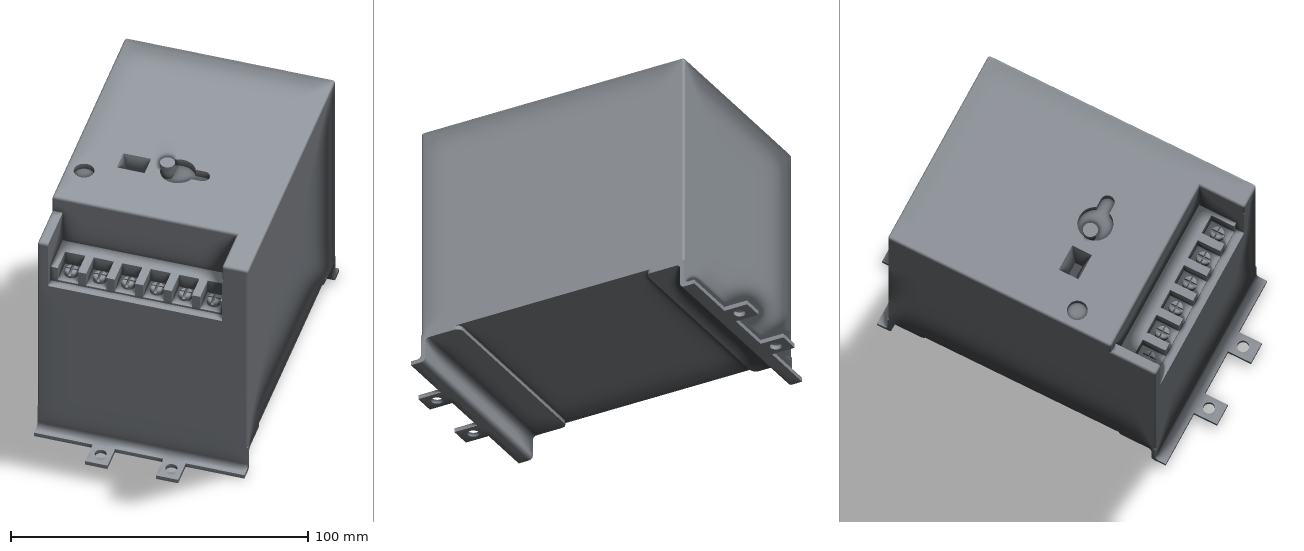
import cadquery as cq

width = 74.0
depth = 101.6
total_depth = 127.0
housing_bottom = 10.5
housing_top = 89.9
total_height = 93.0
edge_radius = 0.9

notch_right = 28.0
notch_back = -33.8
notch_floor = 83.8

bay_left = -33.3
bay_floor = 65.3
block_front = -47.8
block_top = 71.4
terminal_count = 6
terminal_pitch = 10.0
terminal_center_x = -2.2
terminal_width = 7.1
terminal_back = -39.1
terminal_floor = 66.0

screw_diameter = 5.0
screw_height = 2.2
screw_rounding = 0.9
screw_y = -43.2
screw_slot_width = 1.0
screw_cross_slot_width = 0.5
screw_slot_depth = 1.3

keyhole_x = -0.3
keyhole_y = -9.0
keyhole_diameter = 12.1
keyhole_slot_width = 5.0
keyhole_slot_reach = 11.2
keyhole_depth = 2.8
window_x = -15.6
window_y = -9.4
window_length = 9.8
window_width = 7.5
window_inset = 2.4
window_depth = 8.1
lamp_x = -30.6
lamp_y = -17.9
lamp_diameter = 7.0
lamp_depth = 2.2
lens_diameter = 6.1
lens_height = 0.3

sheet = 1.5
bend_radius = 1.5
flange_length = 15.0
flange_corner_radius = 2.3
foot_reach = 54.7
tab_width = 7.9
tab_spacing = 24.9
tab_hole_diameter = 4.1
tab_hole_y = 58.4

knob_x = -4.0
knob_diameter = 5.1
knob_head_height = 1.8
stem_diameter = 4.0

pick_margin = 0.1


def box_between(x_range, y_range, z_range):
    """Box spanning the given (low, high) ranges along X, Y and Z."""
    size = [high - low for low, high in (x_range, y_range, z_range)]
    corner = (x_range[0], y_range[0], z_range[0])
    return cq.Workplane("XY").box(*size, centered=False).translate(corner)


def make_shell():
    """Housing block with its corner notch; all outer edges but the bottom ones are rounded."""
    block = box_between((-width / 2, width / 2), (-depth / 2, depth / 2), (housing_bottom, housing_top))
    notch = box_between((-width / 2, notch_right), (-depth / 2, notch_back), (notch_floor, housing_top))
    shell = block.cut(notch)
    outer_walls = shell.faces("<X or >X or <Y or >Y")
    rounded = shell.faces(">Z").edges().add(outer_walls.edges("|Z"))
    ledge = cq.selectors.BoxSelector(
        (-width, -depth, notch_floor - pick_margin),
        (notch_right - pick_margin, notch_back - pick_margin, notch_floor + pick_margin),
    )
    rounded = rounded.add(shell.edges("|X or |Y").edges(ledge))
    return rounded.fillet(edge_radius)


def make_screw(x):
    """Cross-slotted screw head with a rounded rim, standing on the terminal floor."""
    head = cq.Workplane("XY").circle(screw_diameter / 2).extrude(screw_height)
    head = head.faces(">Z").edges().fillet(screw_rounding)
    slot_floor = cq.Workplane("XY", origin=(0, 0, screw_height - screw_slot_depth))
    for length_x, length_y in ((screw_slot_width, screw_diameter), (screw_diameter, screw_cross_slot_width)):
        head = head.cut(slot_floor.rect(length_x, length_y).extrude(screw_slot_depth))
    return head.translate((x, screw_y, terminal_floor))


def cut_terminal_bay(housing):
    """Bay with a terminal block across its back, holding open-fronted screw pockets.

    Coplanar faces stay unmerged, so a seam remains where the bay meets the notch above it.
    """
    bay_x = (bay_left, notch_right)
    above_block = box_between(bay_x, (-depth / 2, notch_back), (block_top, notch_floor))
    before_block = box_between(bay_x, (-depth / 2, block_front), (bay_floor, block_top))
    housing = housing.cut(above_block, clean=False).cut(before_block, clean=False)
    for i in range(terminal_count):
        x = terminal_center_x + (i - (terminal_count - 1) / 2) * terminal_pitch
        pocket_x = (x - terminal_width / 2, x + terminal_width / 2)
        pocket = box_between(pocket_x, (block_front, terminal_back), (terminal_floor, block_top))
        housing = housing.cut(pocket, clean=False).union(make_screw(x), clean=False)
    return housing


def make_keyhole():
    """Round recess with a narrower round-ended slot toward +X."""
    floor = cq.Workplane("XY", origin=(keyhole_x, keyhole_y, housing_top - keyhole_depth))
    slot_end = keyhole_slot_reach - keyhole_slot_width / 2
    circle = floor.circle(keyhole_diameter / 2).extrude(keyhole_depth)
    straight = floor.center(slot_end / 2, 0).rect(slot_end, keyhole_slot_width).extrude(keyhole_depth)
    end = floor.center(slot_end, 0).circle(keyhole_slot_width / 2).extrude(keyhole_depth)
    return circle.union(straight).union(end)


def make_window():
    """Rectangular recess whose four walls slope in to a smaller floor."""
    return (
        cq.Workplane("XY", origin=(window_x, window_y, housing_top))
        .rect(window_length, window_width)
        .workplane(offset=-window_depth)
        .rect(window_length - 2 * window_inset, window_width - 2 * window_inset)
        .loft()
    )


def make_lamp_recess():
    """Shallow round recess around a slightly raised round lens."""
    floor = cq.Workplane("XY", origin=(lamp_x, lamp_y, housing_top - lamp_depth))
    lens = floor.circle(lens_diameter / 2).extrude(lens_height)
    return floor.circle(lamp_diameter / 2).extrude(lamp_depth).cut(lens)


def make_bracket():
    """Z-shaped bracket under the back wall: flange, upright and foot with two drilled tabs."""
    back = depth / 2
    profile = [
        (back - flange_length, housing_bottom),
        (back, housing_bottom),
        (back, sheet),
        (foot_reach, sheet),
        (foot_reach, 0),
        (back - sheet, 0),
        (back - sheet, housing_bottom - sheet),
        (back - flange_length, housing_bottom - sheet),
    ]
    bracket = cq.Workplane("YZ").polyline(profile).close().extrude(width / 2, both=True)
    for y, z in ((back, sheet), (back - sheet, 0), (back - sheet, housing_bottom - sheet)):
        bend = cq.selectors.BoxSelector(
            (-width, y - pick_margin, z - pick_margin), (width, y + pick_margin, z + pick_margin)
        )
        bracket = bracket.edges(bend).fillet(bend_radius)
    bracket = bracket.faces("<Y").edges("|Z").fillet(flange_corner_radius)
    for x in (-tab_spacing / 2, tab_spacing / 2):
        tab_x = (x - tab_width / 2, x + tab_width / 2)
        bracket = bracket.union(box_between(tab_x, (foot_reach, total_depth / 2), (0, sheet)))
        hole = cq.Workplane("XY").center(x, tab_hole_y).circle(tab_hole_diameter / 2).extrude(sheet)
        bracket = bracket.cut(hole)
    return bracket


def make_housing():
    """Housing with its terminal bay, top recesses and both mounting brackets, as one solid.

    Coplanar faces stay unmerged, so a seam remains where each bracket meets the walls.
    """
    housing = cut_terminal_bay(make_shell())
    for recess in (make_keyhole(), make_window(), make_lamp_recess()):
        housing = housing.cut(recess, clean=False)
    back_bracket = make_bracket()
    for bracket in (back_bracket, back_bracket.mirror("XZ")):
        housing = housing.union(bracket, clean=False)
    return housing


def make_knob():
    """Headed knob standing on the keyhole floor at its -X side."""
    stem_bottom = housing_top - keyhole_depth
    head_bottom = total_height - knob_head_height
    stem = (
        cq.Workplane("XY", origin=(knob_x, keyhole_y, stem_bottom))
        .circle(stem_diameter / 2)
        .extrude(head_bottom - stem_bottom)
    )
    return stem.faces(">Z").workplane().circle(knob_diameter / 2).extrude(knob_head_height)


housing = make_housing()
knob = make_knob()
result = cq.Compound.makeCompound([housing.val(), knob.val()])